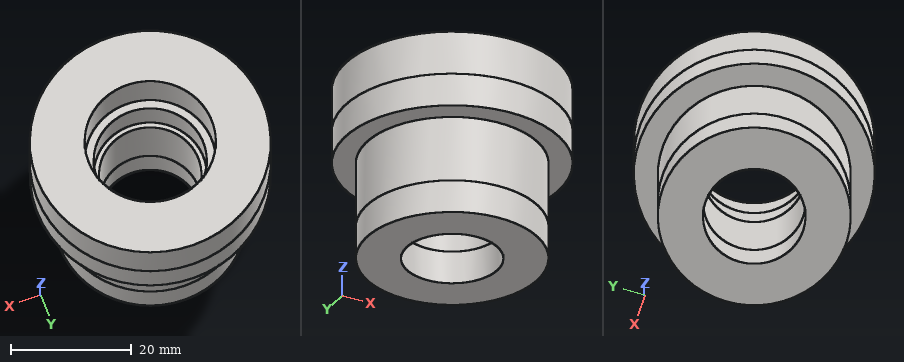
import cadquery as cq

flange_diameter = 40.0
barrel_diameter = 32.0

cap_bore = 21.75
collar_bore = 18.75
narrow_bore = 17.0

foot_height = 6.0
barrel_height = 12.0
collar_height = 6.0
cap_height = 8.0

barrel_base = foot_height
collar_base = barrel_base + barrel_height
cap_base = collar_base + collar_height


def make_ring(outer_diameter, bore_diameter, height, base):
    """Plain ring around the Z axis, standing on the height `base`."""
    return (
        cq.Workplane("XY", origin=(0, 0, base))
        .circle(outer_diameter / 2)
        .circle(bore_diameter / 2)
        .extrude(height)
    )


foot = make_ring(barrel_diameter, narrow_bore, foot_height, 0)
barrel = make_ring(barrel_diameter, narrow_bore, barrel_height, barrel_base)
collar = make_ring(flange_diameter, collar_bore, collar_height, collar_base)
cap = make_ring(flange_diameter, cap_bore, cap_height, cap_base)

result = cq.Compound.makeCompound([foot.val(), barrel.val(), collar.val(), cap.val()])